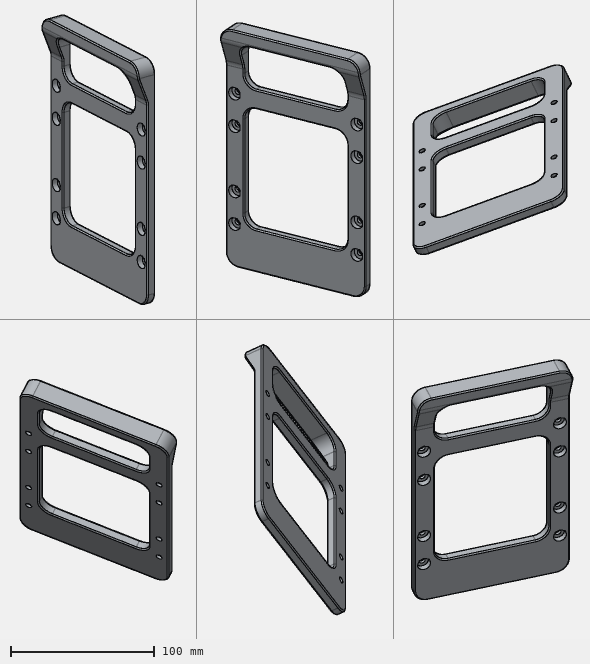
import cadquery as cq

width = 114.3
height = 184.7
plate_thickness = 7.0
grip_thickness = 15.0
corner_radius = 10.0
edge_chamfer = 1.0

grip_height = 10.0
ramp_height = 20.0
ramp_blend_radius = 10.0
ramp_top = height - grip_height
ramp_bottom = ramp_top - ramp_height

window_width = 84.2
window_radius = 10.0
crossbar_height = 15.0
handle_window_height = 35.1
handle_window_top = height - grip_height
handle_window_bottom = handle_window_top - handle_window_height
main_window_height = 92.0
main_window_top = handle_window_bottom - crossbar_height

hole_diameter = 4.5
counterbore_diameter = 9.5
counterbore_depth = 4.5
hole_column_spacing = 100.0
hole_center_level = 82.5
inner_hole_offset = 25.0
outer_hole_offset = 2 * inner_hole_offset


def make_blank():
    """Side profile extruded across the width, with blended ramp and rounded corners."""
    blank = (
        cq.Workplane("YZ")
        .moveTo(0, 0)
        .lineTo(0, height)
        .lineTo(-grip_thickness, height)
        .lineTo(-grip_thickness, ramp_top)
        .lineTo(-plate_thickness, ramp_bottom)
        .lineTo(-plate_thickness, 0)
        .close()
        .extrude(width / 2, both=True)
    )
    ramp_top_edge = cq.selectors.NearestToPointSelector((0, -grip_thickness, ramp_top))
    ramp_bottom_edge = cq.selectors.NearestToPointSelector((0, -plate_thickness, ramp_bottom))
    blank = blank.edges(ramp_top_edge + ramp_bottom_edge).fillet(ramp_blend_radius)
    return blank.edges("|Y").fillet(corner_radius)


def make_window(top, window_height):
    """Rounded cutter that passes through the full thickness."""
    cutter_length = 4 * grip_thickness
    return (
        cq.Workplane("XY")
        .box(window_width, cutter_length, window_height)
        .edges("|Y")
        .fillet(window_radius)
        .translate((0, 0, top - window_height / 2))
    )


def make_screw_hole(x, z):
    """Through hole with a flat counterbore sunk from the plate front."""
    front = cq.Workplane("XZ", origin=(x, -plate_thickness, z))
    through = front.circle(hole_diameter / 2).extrude(-plate_thickness)
    counterbore = front.circle(counterbore_diameter / 2).extrude(-counterbore_depth)
    return through.union(counterbore)


def front_rim_edges(solid):
    """Boundary of the front skin: edges with exactly one adjoining face that leans toward -Y."""
    flat_tolerance = 0.1
    front_faces = [face for face in solid.faces().vals() if face.normalAt().y < -flat_tolerance]
    front_edges = [edge for face in front_faces for edge in face.Edges()]
    return [edge for edge in front_edges if sum(edge.isSame(other) for other in front_edges) == 1]


body = make_blank()
body = body.cut(make_window(handle_window_top, handle_window_height))
body = body.cut(make_window(main_window_top, main_window_height))

body = body.newObject(front_rim_edges(body)).chamfer(edge_chamfer)
body = body.faces(">Y").edges().chamfer(edge_chamfer)

for x in (-hole_column_spacing / 2, hole_column_spacing / 2):
    for offset in (-outer_hole_offset, -inner_hole_offset, inner_hole_offset, outer_hole_offset):
        body = body.cut(make_screw_hole(x, hole_center_level + offset))

result = body